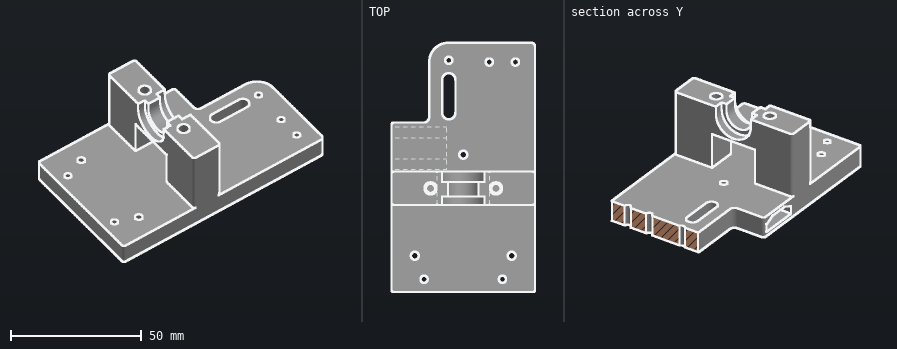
import cadquery as cq

WIDTH = 55.0
LENGTH = 95.5
HEIGHT = 37.0
PLATE_THICKNESS = 9.0
LEFT = -WIDTH / 2
RIGHT = WIDTH / 2

NOTCH_WIDTH = 14.4
NOTCH_Y = 64.9
TONGUE_LEFT = LEFT + NOTCH_WIDTH
TONGUE_CORNER_RADIUS = 7.5
NOTCH_RADIUS = 2.0
EDGE_RADIUS = 1.0
BACK_RIGHT_RADIUS = 1.5

BLOCK_FRONT = 33.4
BLOCK_DEPTH = 12.7
BLOCK_BACK = BLOCK_FRONT + BLOCK_DEPTH
WINDOW_WIDTH = 20.0
WINDOW_TOP = 24.1

SADDLE_Z = 33.7
SADDLE_DIAMETER = 11.8
RECESS_DIAMETER = 16.4
FRONT_RECESS_DEPTH = 3.15
BACK_RECESS_DEPTH = 3.9

SCREW_OFFSET = 12.5
SCREW_Y = 39.7
SCREW_MOUTH_DIAMETER = 4.7
SCREW_MOUTH_DEPTH = 9.55
SCREW_PILOT_DIAMETER = 3.5
SCREW_PILOT_DEPTH = 19.1

SMALL_HOLE_DIAMETER = 2.7
LARGE_HOLE_DIAMETER = 3.0
SLOT_X = TONGUE_LEFT + 7.5
FRONT_HOLE_OFFSET = 15.0
FRONT_HOLE_Y = 5.0
SECOND_HOLE_OFFSET = 18.5
SECOND_HOLE_Y = 13.9
BACK_HOLE_Y = 88.05
SMALL_HOLES = [
    (-FRONT_HOLE_OFFSET, FRONT_HOLE_Y),
    (FRONT_HOLE_OFFSET, FRONT_HOLE_Y),
    (SLOT_X, 88.7),
    (9.9, BACK_HOLE_Y),
    (20.0, BACK_HOLE_Y),
]
LARGE_HOLES = [
    (-SECOND_HOLE_OFFSET, SECOND_HOLE_Y),
    (SECOND_HOLE_OFFSET, SECOND_HOLE_Y),
    (0, 52.6),
]

SLOT_WIDTH = 5.0
SLOT_LENGTH = 17.6
SLOT_Y = 75.0

POCKET_Y = 55.0
POCKET_WIDTH = 16.2
POCKET_ROOF_WIDTH = 8.1
POCKET_FLOOR_Z = 1.9
POCKET_SIDE_HEIGHT = 3.3
POCKET_HEIGHT = 5.3
POCKET_ROOF_DROP = 2.1
POCKET_DEPTH = 21.0


def make_plate():
    plate = (
        cq.Workplane("XY")
        .moveTo(LEFT, 0)
        .lineTo(RIGHT, 0)
        .lineTo(RIGHT, LENGTH)
        .lineTo(TONGUE_LEFT, LENGTH)
        .lineTo(TONGUE_LEFT, NOTCH_Y)
        .lineTo(LEFT, NOTCH_Y)
        .close()
        .extrude(PLATE_THICKNESS)
    )
    corners = [
        (LEFT, 0, EDGE_RADIUS),
        (RIGHT, 0, EDGE_RADIUS),
        (RIGHT, LENGTH, BACK_RIGHT_RADIUS),
        (TONGUE_LEFT, LENGTH, TONGUE_CORNER_RADIUS),
        (TONGUE_LEFT, NOTCH_Y, NOTCH_RADIUS),
        (LEFT, NOTCH_Y, EDGE_RADIUS),
    ]
    for x, y, radius in corners:
        corner = cq.selectors.NearestToPointSelector((x, y, PLATE_THICKNESS / 2))
        plate = plate.edges("|Z").edges(corner).fillet(radius)
    return plate


def box_between(width, y_start, y_end, z_start, z_end):
    """Box centred on X = 0."""
    return (
        cq.Workplane("XY", origin=(0, (y_start + y_end) / 2, z_start))
        .rect(width, y_end - y_start)
        .extrude(z_end - z_start)
    )


def saddle_cut(diameter, y_start, y_end):
    """Round-bottomed channel along Y, with straight sides up to the block top."""
    depth = y_end - y_start
    bore = cq.Workplane("XZ", origin=(0, y_start, SADDLE_Z)).circle(diameter / 2).extrude(-depth)
    return bore.union(box_between(diameter, y_start, y_end, SADDLE_Z, HEIGHT + diameter))


def make_block():
    block = box_between(WIDTH, BLOCK_FRONT, BLOCK_BACK, PLATE_THICKNESS, HEIGHT)
    block = block.edges("|Z").fillet(EDGE_RADIUS)
    block = block.cut(box_between(WINDOW_WIDTH, BLOCK_FRONT, BLOCK_BACK, PLATE_THICKNESS, WINDOW_TOP))
    block = block.cut(saddle_cut(SADDLE_DIAMETER, BLOCK_FRONT, BLOCK_BACK))
    block = block.cut(saddle_cut(RECESS_DIAMETER, BLOCK_FRONT, BLOCK_FRONT + FRONT_RECESS_DEPTH))
    block = block.cut(saddle_cut(RECESS_DIAMETER, BLOCK_BACK - BACK_RECESS_DEPTH, BLOCK_BACK))
    screws = cq.Workplane("XY", origin=(0, SCREW_Y, HEIGHT)).pushPoints([(-SCREW_OFFSET, 0), (SCREW_OFFSET, 0)])
    block = block.cut(screws.circle(SCREW_MOUTH_DIAMETER / 2).extrude(-SCREW_MOUTH_DEPTH))
    return block.cut(screws.circle(SCREW_PILOT_DIAMETER / 2).extrude(-SCREW_PILOT_DEPTH))


def plate_openings():
    plane = cq.Workplane("XY")
    small = plane.pushPoints(SMALL_HOLES).circle(SMALL_HOLE_DIAMETER / 2).extrude(PLATE_THICKNESS)
    large = plane.pushPoints(LARGE_HOLES).circle(LARGE_HOLE_DIAMETER / 2).extrude(PLATE_THICKNESS)
    slot = plane.center(SLOT_X, SLOT_Y).slot2D(SLOT_LENGTH, SLOT_WIDTH, 90).extrude(PLATE_THICKNESS)
    return small.union(large).union(slot)


def pocket_profile(plane, roof_drop):
    side = POCKET_SIDE_HEIGHT - roof_drop
    top = POCKET_HEIGHT - roof_drop
    return plane.polyline([
        (-POCKET_WIDTH / 2, 0),
        (POCKET_WIDTH / 2, 0),
        (POCKET_WIDTH / 2, side),
        (POCKET_ROOF_WIDTH / 2, top),
        (-POCKET_ROOF_WIDTH / 2, top),
        (-POCKET_WIDTH / 2, side),
    ]).close()


def side_pocket():
    mouth = pocket_profile(cq.Workplane("YZ", origin=(LEFT, POCKET_Y, POCKET_FLOOR_Z)), 0)
    inner_end = pocket_profile(mouth.workplane(offset=POCKET_DEPTH), POCKET_ROOF_DROP)
    return inner_end.loft(ruled=True, combine=True)


result = make_plate().union(make_block()).cut(plate_openings()).cut(side_pocket())